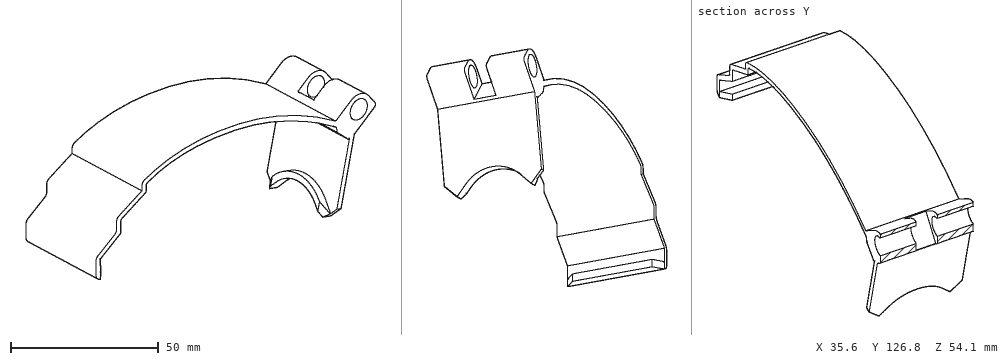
import math

import cadquery as cq


WIDTH = 35.56
HEIGHT = 54.06
THICKNESS = 2.0
CROWN_HEIGHT = 14.5
TIP_HEIGHT = CROWN_HEIGHT - HEIGHT

HINGE_TILT = 38.0
HINGE_HALF = 5.8
HINGE_NOSE_FILLET = 1.25
HINGE_TOP_LENGTH = 8.8
HINGE_BOTTOM_LENGTH = 7.8
HINGE_HEEL_LOW = (9.8, -4.8)
HINGE_HEEL_HIGH = (11.0, 1.8)
HINGE_HOLE_DIAMETER = 7.8
HINGE_SLOT_WIDTH = 8.0

STRAP_ROOT = (10.6, -0.7)
STRAP_ROOT_ANGLE = 31.0
STRAP_ROOT_OVERLAP = 3.0
HAUNCH = (42.0, 12.0)
HAUNCH_ANGLE = 13.0
CROWN = (65.0, CROWN_HEIGHT)
STRAP_END_ANGLE = -27.0
FIRST_RISER = 98.3
FIRST_RISER_TOP = 7.3
FIRST_RISER_FOOT = 4.1
SECOND_RISER = 109.8
SECOND_RISER_TOP = -2.4
SECOND_RISER_FOOT = -7.7
WALL = 119.18
WALL_TOP = -14.4
WALL_FOOT = -23.3
OUTER_FILLET = 2.2
INNER_FILLET = 1.0
FOOT_FILLET = 2.6

LIP_HEIGHT = 2.8
LIP_REACH = 3.2
LIP_END_BEVEL = 3.2

LEG_ANGLE = 12.8
LEG_TIP = (8.93, TIP_HEIGHT)
LEG_LENGTH = 32.0
LEG_TIP_HALF_SPAN = 13.56
LEG_CORNER_RISE = 4.35
OPENING_RADIUS = 13.5
OPENING_FLANK_ANGLE = 47.0
COLLAR_WALL = 2.45
COLLAR_HEIGHT = 3.0
COLLAR_FLAT_HALF_SPAN = 12.0
COLLAR_FOOT_HALF_SPAN = 15.6


def direction(angle):
    """Unit vector in the section at an angle in degrees."""
    return (math.cos(math.radians(angle)), math.sin(math.radians(angle)))


def shifted(point, vector, distance):
    """Point moved by a distance along a section vector."""
    return (point[0] + distance * vector[0], point[1] + distance * vector[1])


def inward(point, angle):
    """Point moved one thickness to the right of a travel direction."""
    return shifted(point, direction(angle - 90), THICKNESS)


def mitre(point, angle_in, angle_out):
    """Inner corner matching an outer corner between two travel directions."""
    half_turn = math.radians(angle_out - angle_in) / 2
    bisector = direction((angle_in + angle_out) / 2 - 90)
    return shifted(point, bisector, THICKNESS / math.cos(half_turn))


def slope(start, end):
    """Travel angle in degrees from one section point to another."""
    return math.degrees(math.atan2(end[1] - start[1], end[0] - start[0]))


def section_plane():
    """Section plane at the +X side of the part, facing -X."""
    return cq.Plane(origin=(WIDTH / 2, 0, 0), xDir=(0, -1, 0), normal=(-1, 0, 0))


def hinge_plane():
    """Section plane turned so that its first axis runs along the hinge block."""
    along = direction(-HINGE_TILT)
    return cq.Plane(origin=(WIDTH / 2, 0, 0), xDir=(0, -along[0], along[1]), normal=(-1, 0, 0))


def leg_plane():
    """Plane on the outer leg face: X across, Y up the leg, normal toward the strap."""
    normal = direction(LEG_ANGLE)
    origin = (0, -LEG_TIP[0], LEG_TIP[1])
    return cq.Plane(origin=origin, xDir=(1, 0, 0), normal=(0, -normal[0], normal[1]))


def make_hinge():
    """Square bar along the tilted hinge axis, rounded over the pin, with a pointed heel."""
    plane = hinge_plane()
    block = (
        cq.Workplane(plane)
        .moveTo(-HINGE_HALF, -HINGE_HALF)
        .lineTo(HINGE_BOTTOM_LENGTH, -HINGE_HALF)
        .lineTo(*HINGE_HEEL_LOW)
        .lineTo(*HINGE_HEEL_HIGH)
        .lineTo(HINGE_TOP_LENGTH, HINGE_HALF)
        .lineTo(0, HINGE_HALF)
        .threePointArc((-HINGE_HALF * math.sqrt(0.5), HINGE_HALF * math.sqrt(0.5)), (-HINGE_HALF, 0))
        .close()
        .extrude(WIDTH)
    )
    nose_edge = plane.toWorldCoords((-HINGE_HALF, -HINGE_HALF, WIDTH / 2))
    return block.edges(cq.NearestToPointSelector(nose_edge.toTuple())).fillet(HINGE_NOSE_FILLET)


def cut_hinge(body):
    """Pin hole through the full width and the slot that splits the hinge into two ears."""
    hole = cq.Workplane(hinge_plane()).circle(HINGE_HOLE_DIAMETER / 2).extrude(WIDTH)
    slot = (
        cq.Workplane(hinge_plane())
        .rect(2 * HINGE_HALF, 2 * HINGE_HALF)
        .extrude(HINGE_SLOT_WIDTH)
        .translate((-(WIDTH - HINGE_SLOT_WIDTH) / 2, 0, 0))
    )
    return body.cut(hole).cut(slot)


def make_strap():
    """Band of constant thickness: crowned run, two steps and the end wall with its lip."""
    down = -90
    crest = (FIRST_RISER, FIRST_RISER_TOP)
    tread_1 = [(FIRST_RISER, FIRST_RISER_FOOT), (SECOND_RISER, SECOND_RISER_TOP)]
    tread_2 = [(SECOND_RISER, SECOND_RISER_FOOT), (WALL, WALL_TOP)]
    crown_angles = [STRAP_ROOT_ANGLE, HAUNCH_ANGLE, 0, STRAP_END_ANGLE]
    outer_run = [STRAP_ROOT, HAUNCH, CROWN, crest]

    outer_corners = [crest] + tread_1 + tread_2 + [(WALL, WALL_FOOT)]
    angles = [STRAP_END_ANGLE, down, slope(*tread_1), down, slope(*tread_2), down]
    inner_corners = [
        mitre(point, angle_in, angle_out)
        for point, angle_in, angle_out in zip(outer_corners, angles, angles[1:])
    ]
    inner_foot = (WALL - THICKNESS, WALL_FOOT)

    inner_run = [inward(point, angle) for point, angle in zip(outer_run, crown_angles)]
    inner_run[-1] = inner_corners[0]

    root_direction = direction(STRAP_ROOT_ANGLE)
    outer_start = shifted(STRAP_ROOT, root_direction, -STRAP_ROOT_OVERLAP)
    inner_start = inward(outer_start, STRAP_ROOT_ANGLE)

    forward = [direction(angle) for angle in crown_angles]
    backward = [direction(angle + 180) for angle in reversed(crown_angles)]
    outline = cq.Workplane(section_plane()).moveTo(*outer_start).lineTo(*STRAP_ROOT)
    outline = outline.spline(outer_run[1:], tangents=forward, includeCurrent=True)
    for point in outer_corners[1:] + [inner_foot] + inner_corners[::-1]:
        outline = outline.lineTo(*point)
    outline = outline.spline(inner_run[-2::-1], tangents=backward, includeCurrent=True)
    outline = outline.lineTo(*inner_start).close()
    strap = outline.extrude(WIDTH).union(make_lip())

    for point in [crest] + tread_1[1:] + tread_2:
        strap = round_corner(strap, point, OUTER_FILLET)
    strap = round_corner(strap, outer_corners[-1], FOOT_FILLET)
    for point in inner_corners[:3]:
        strap = round_corner(strap, point, INNER_FILLET)
    return strap


def round_corner(body, point, radius):
    """Fillet the full-width edge through a section point."""
    edge_middle = (0, -point[0], point[1])
    return body.edges(cq.NearestToPointSelector(edge_middle)).fillet(radius)


def make_lip():
    """Inward lip at the foot of the wall, narrowing away from the wall at both ends."""
    root = -(WALL - THICKNESS)
    half = WIDTH / 2
    return (
        cq.Workplane("XY", origin=(0, 0, WALL_FOOT))
        .polyline([
            (-half, root),
            (-half + LIP_END_BEVEL, root + LIP_REACH),
            (half - LIP_END_BEVEL, root + LIP_REACH),
            (half, root),
        ])
        .close()
        .extrude(LIP_HEIGHT)
    )


def opening_profile(growth):
    """Area under the leg's arch: a round top on straight flanks, grown by a distance."""
    flank = math.radians(OPENING_FLANK_ANGLE)
    radius = OPENING_RADIUS + growth
    flank_x = OPENING_RADIUS * math.sin(flank)
    centre_rise = (LEG_TIP_HALF_SPAN - flank_x) * math.tan(flank) - OPENING_RADIUS * math.cos(flank)
    arc_x = radius * math.sin(flank)
    arc_rise = centre_rise + radius * math.cos(flank)
    floor = -OPENING_RADIUS
    floor_x = arc_x + (arc_rise - floor) / math.tan(flank)
    return (
        cq.Workplane(leg_plane())
        .moveTo(-floor_x, floor)
        .lineTo(-arc_x, arc_rise)
        .threePointArc((0, centre_rise + radius), (arc_x, arc_rise))
        .lineTo(floor_x, floor)
        .close()
    )


def make_leg():
    """Flat leg with bevelled corners, an arched opening and a collar around the arch."""
    half = WIDTH / 2
    depth = THICKNESS + COLLAR_HEIGHT
    plate_outline = [
        (-LEG_TIP_HALF_SPAN, 0),
        (-half, LEG_CORNER_RISE),
        (-half, LEG_LENGTH),
        (half, LEG_LENGTH),
        (half, LEG_CORNER_RISE),
        (LEG_TIP_HALF_SPAN, 0),
    ]
    plate = cq.Workplane(leg_plane()).polyline(plate_outline).close().extrude(THICKNESS)
    envelope = cq.Workplane(leg_plane()).polyline(plate_outline).close().extrude(depth)

    base = leg_plane()
    across = cq.Plane(origin=base.origin, xDir=base.xDir, normal=-base.yDir)
    sloped_prism = (
        cq.Workplane(across)
        .polyline([
            (-COLLAR_FOOT_HALF_SPAN, THICKNESS),
            (-COLLAR_FLAT_HALF_SPAN, depth),
            (COLLAR_FLAT_HALF_SPAN, depth),
            (COLLAR_FOOT_HALF_SPAN, THICKNESS),
        ])
        .close()
        .extrude(-LEG_LENGTH)
    )
    collar = opening_profile(COLLAR_WALL).extrude(depth).intersect(envelope).intersect(sloped_prism)
    return plate.union(collar).cut(opening_profile(0).extrude(depth))


body = make_hinge().union(make_strap()).union(make_leg())
result = cut_hinge(body)